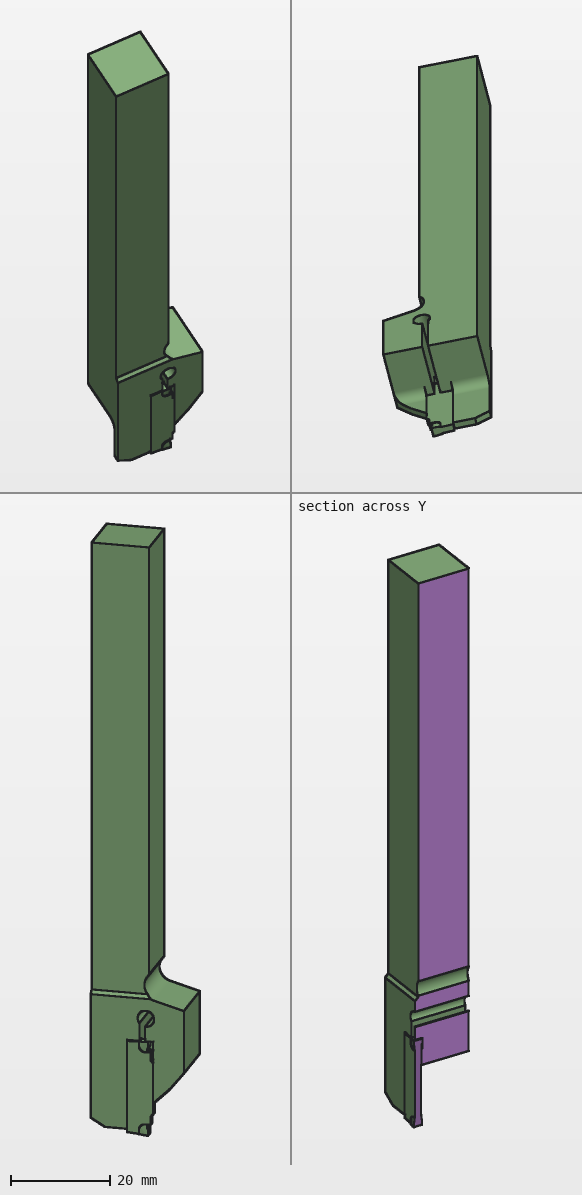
import cadquery as cq
import math

shank_width = 12.0
total_height = 125.0

head_depth = 19.4
head_bottom = 13.8
head_step_top = 29.8
blade_thickness = 1.5
blade_centre_x = shank_width
blade_inner_x = blade_centre_x - blade_thickness / 2
blade_outer_x = blade_centre_x + blade_thickness / 2
blade_fillet_radius = 2.0
blade_bottom = 1.0
blade_chamfer_width = 3.0
blade_chamfer_height = blade_chamfer_width * math.tan(math.radians(30))

relief_radius = 3.0
relief_centre_y = 14.0
relief_centre_z = 31.7
shoulder_angle = math.radians(15)

insert_length = 20.0
insert_seat_y = 7.55
insert_top_y = 13.0
cutting_edge_y = shank_width
tip_width = 2.08
tip_inner_x = blade_centre_x - tip_width / 2
tip_outer_x = blade_centre_x + tip_width / 2
tip_length = 2.3
tip_root_y = 10.1
tip_back_width = 1.75
tip_root_radius = 1.2
clearance_angle = math.radians(4)
nose_y = 12.5
nose_length = 4.0
chip_groove_start = 1.3
chip_groove_depth = 0.2

jaw_tip_z = 6.75
jaw_bend_y = 16.3
jaw_bend_z = 9.95
slot_start_y = 10.15
slot_width = 1.2
hinge_hole_radius = 1.7
hinge_hole_y = 11.5
hinge_hole_z = 24.8


def extrude_along_x(profile, start_x, end_x):
    """Extrude a closed profile drawn in (Y, Z) between two X positions."""
    return profile.extrude(end_x - start_x).translate((start_x, 0, 0))


def box_between(low, high):
    """Axis-aligned box from its lowest to its highest corner."""
    size = [b - a for a, b in zip(low, high)]
    return cq.Workplane("XY").box(*size, centered=False).translate(low)


def side_outline():
    """Outline of the whole holder in (Y, Z)."""
    relief_top_z = relief_centre_z + math.sqrt(relief_radius**2 - (relief_centre_y - shank_width) ** 2)
    shoulder_y = relief_centre_y - relief_radius * math.sin(shoulder_angle)
    shoulder_z = relief_centre_z - relief_radius * math.cos(shoulder_angle)
    shoulder_end_z = shoulder_z - (head_depth - shoulder_y) * math.tan(shoulder_angle)
    return (
        cq.Workplane("YZ")
        .moveTo(0, total_height)
        .lineTo(shank_width, total_height)
        .lineTo(shank_width, relief_top_z)
        .threePointArc((relief_centre_y - relief_radius, relief_centre_z), (shoulder_y, shoulder_z))
        .lineTo(head_depth, shoulder_end_z)
        .lineTo(head_depth, head_bottom)
        .lineTo(jaw_bend_y, jaw_bend_z)
        .lineTo(insert_top_y, jaw_tip_z)
        .lineTo(insert_top_y, blade_bottom)
        .lineTo(blade_chamfer_width, blade_bottom)
        .lineTo(0, blade_bottom + blade_chamfer_height)
        .close()
    )


def front_outline():
    """Outline of the shank, head and blade in (X, Z), extruded over the head depth."""
    step = blade_outer_x - shank_width
    corner = blade_fillet_radius * (1 - math.sqrt(0.5))
    return (
        cq.Workplane("XZ")
        .moveTo(0, total_height)
        .lineTo(shank_width, total_height)
        .lineTo(shank_width, head_step_top)
        .lineTo(blade_outer_x, head_step_top - step)
        .lineTo(blade_outer_x, 0)
        .lineTo(blade_inner_x, 0)
        .lineTo(blade_inner_x, head_bottom - blade_fillet_radius)
        .threePointArc(
            (blade_inner_x - corner, head_bottom - corner),
            (blade_inner_x - blade_fillet_radius, head_bottom),
        )
        .lineTo(0, head_bottom)
        .close()
        .extrude(-head_depth)
    )


def insert_pocket():
    """Seat for the insert, with extra width for its rear tip and a gap through the blade fillet."""
    seat = box_between(
        (blade_inner_x, insert_seat_y, 0),
        (tip_outer_x, insert_top_y, insert_length),
    )
    rear_tip_room = box_between(
        (tip_inner_x, tip_root_y, insert_length - tip_length),
        (tip_outer_x, insert_top_y, insert_length),
    )
    fillet_gap = box_between(
        (0, insert_seat_y, 0),
        (blade_inner_x, insert_top_y, head_bottom),
    )
    return seat.union(rear_tip_room).union(fillet_gap)


def clamping_slot():
    """Slot through the head, ending in a round hinge hole."""
    slot = box_between(
        (0, slot_start_y, head_bottom),
        (blade_outer_x, slot_start_y + slot_width, hinge_hole_z),
    )
    hole_profile = cq.Workplane("YZ").center(hinge_hole_y, hinge_hole_z).circle(hinge_hole_radius)
    return slot.union(extrude_along_x(hole_profile, 0, blade_outer_x))


def make_holder():
    holder = extrude_along_x(side_outline(), 0, blade_outer_x).intersect(front_outline())
    return holder.cut(insert_pocket()).cut(clamping_slot())


def clearance_z(y):
    """Height of the sloping end face of the insert at a given Y."""
    return (cutting_edge_y - y) * math.tan(clearance_angle)


def cutting_end_profile(root_y):
    """Start a (Y, Z) profile at root_y and follow the end face, cutting edge and chip groove."""
    groove_middle = (chip_groove_start + tip_length) / 2
    return (
        cq.Workplane("YZ")
        .moveTo(root_y, clearance_z(root_y))
        .lineTo(cutting_edge_y, 0)
        .lineTo(cutting_edge_y, chip_groove_start)
        .threePointArc(
            (cutting_edge_y - chip_groove_depth, groove_middle),
            (cutting_edge_y, tip_length),
        )
    )


def insert_half_body():
    """Lower half of the insert, as wide as the blade, with its chip groove."""
    profile = (
        cutting_end_profile(insert_seat_y)
        .lineTo(nose_y, tip_length)
        .lineTo(nose_y, nose_length)
        .lineTo(insert_top_y, nose_length + insert_top_y - nose_y)
        .lineTo(insert_top_y, insert_length / 2)
        .lineTo(insert_seat_y, insert_length / 2)
        .close()
    )
    return extrude_along_x(profile, blade_inner_x, blade_outer_x)


def tapered_width(plane):
    """Symmetric trapezoid about the blade centre, widest at the local zero height."""
    return (
        cq.Workplane(plane)
        .moveTo(tip_inner_x, 0)
        .lineTo(tip_outer_x, 0)
        .lineTo(blade_centre_x + tip_back_width / 2, tip_length)
        .lineTo(blade_centre_x - tip_back_width / 2, tip_length)
        .close()
    )


def insert_tip():
    """Cutting tip, wider than the body at the cutting edge and relieved behind it."""
    arc_offset = tip_root_radius * (1 - math.sqrt(0.5))
    profile = (
        cutting_end_profile(tip_root_y)
        .lineTo(tip_root_y + tip_root_radius, tip_length)
        .threePointArc(
            (tip_root_y + arc_offset, tip_length - arc_offset),
            (tip_root_y, tip_length - tip_root_radius),
        )
        .close()
    )
    end_relief = tapered_width("XZ").extrude(-insert_top_y)
    depth_relief = tapered_width("XY").extrude(tip_length).mirror("XZ").translate((0, cutting_edge_y, 0))
    return extrude_along_x(profile, tip_inner_x, tip_outer_x).intersect(end_relief).intersect(depth_relief)


def make_insert():
    half = insert_half_body().union(insert_tip())
    return half.union(half.mirror("XY", (0, 0, insert_length / 2)))


holder = make_holder()
insert = make_insert()
result = cq.Compound.makeCompound([holder.solids().val(), insert.solids().val()])